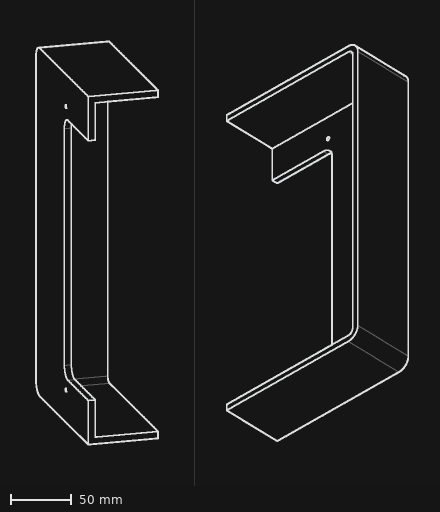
import cadquery as cq

width = 150.0
depth = 60.0
height = 300.0

wall = 6.0
outer_radius = 10.8
inner_radius = outer_radius - wall

spine_width = 81.5
arm_height = 38.0
notch_radius = 10.0

hole_diameter = 3.0
hole_x = 86.0
hole_edge_distance = 28.0

front_y = -depth / 2
left_x = -width / 2


def block(x_min, x_max, y_min, y_max, z_height):
    """Box between the given X and Y limits, centred on Z = 0."""
    return cq.Workplane("XY").box(
        x_max - x_min, y_max - y_min, z_height, centered=(False, False, True)
    ).translate((x_min, y_min, 0))


def make_shell():
    """C-shaped rim behind a front plate, open at the back and at the +X end."""
    body = block(left_x, width / 2, front_y, depth / 2, height)
    body = body.edges("|Y and <X").fillet(outer_radius)
    cavity = block(left_x + wall, width / 2, front_y + wall, depth / 2, height - 2 * wall)
    cavity = cavity.edges("|Y and <X").fillet(inner_radius)
    return body.cut(cavity)


def make_notch():
    """Opening between the two arms, rounded at its inner corners."""
    notch = block(left_x + spine_width, width / 2, front_y, depth / 2, height - 2 * arm_height)
    return notch.edges("|Y and <X").fillet(notch_radius)


def make_holes():
    """One hole in each arm, near the notch corner."""
    hole_z = height / 2 - hole_edge_distance
    return (
        cq.Workplane("XZ", origin=(0, front_y, 0))
        .pushPoints([(left_x + hole_x, side * hole_z) for side in (-1, 1)])
        .circle(hole_diameter / 2)
        .extrude(-wall)
    )


result = make_shell().cut(make_notch()).cut(make_holes())